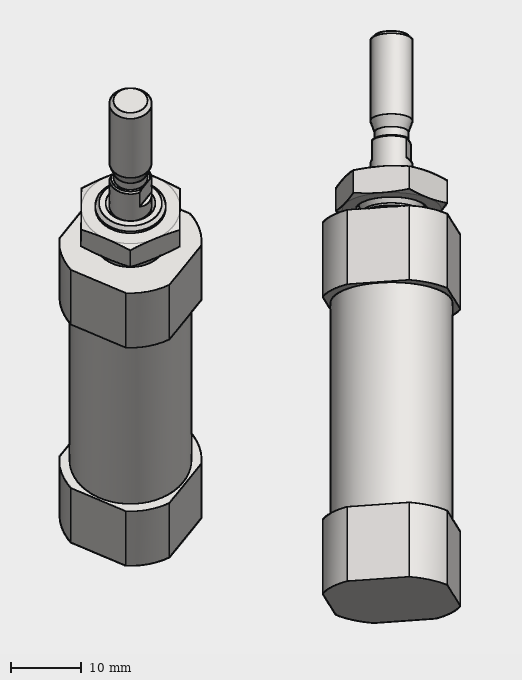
import cadquery as cq
import math

TOTAL_LENGTH = 84.6

CAP_ACROSS_FLATS = 18.0
CAP_DIAMETER = 20.1
CAP_LENGTH = 11.2
HOUSING_LENGTH = 55.75
TUBE_DIAMETER = 17.3
NOSE_DIAMETER = 10.0
NOSE_LENGTH = 7.9
NOSE_TIP_DIAMETER = 8.9
NOSE_COLLAR_LENGTH = 1.5
GROOVE_LOWER_TAPER = 0.5
GROOVE_DIAMETER = 8.4
GROOVE_FLOOR_HEIGHT = 0.3
GROOVE_UPPER_TAPER = 2.1
COUNTERSINK_DIAMETER = 7.0

ROD_DIAMETER = 6.0
ROD_TIP_DIAMETER = 4.8
ROD_THREAD_LENGTH = 12.7
ROD_NECK_DIAMETER = 4.8
ROD_NECK_TAPER = 1.7
ROD_NECK_LENGTH = 1.35
ROD_SHOULDER_CHAMFER = 0.25
ROD_ACROSS_FLATS = 5.0
ROD_FLAT_LENGTH = 3.1
ROD_FLAT_DROP = 0.3

NUT_ACROSS_FLATS = 14.0
NUT_THICKNESS = 4.0
NUT_BOTTOM = 58.7
NUT_CHAMFER_ANGLE = 15.0

NOSE_TOP = HOUSING_LENGTH + NOSE_LENGTH
ROD_BOTTOM = HOUSING_LENGTH - CAP_LENGTH
NECK_BOTTOM = TOTAL_LENGTH - ROD_THREAD_LENGTH - ROD_NECK_TAPER - ROD_NECK_LENGTH


def cylinder(diameter, bottom, height):
    """Cylinder on the Z axis, standing on the given height."""
    return cq.Workplane("XY").workplane(offset=bottom).circle(diameter / 2).extrude(height)


def turned(profile):
    """Solid turned about Z from (diameter, height) points, closed along the axis."""
    points = [(0, profile[0][1])]
    points += [(diameter / 2, height) for diameter, height in profile]
    points.append((0, profile[-1][1]))
    return cq.Workplane("XZ").polyline(points).close().revolve(360, (0, 0), (0, 1))


def make_cap(bottom):
    """Round end cap with four flats."""
    flats = (
        cq.Workplane("XY")
        .workplane(offset=bottom)
        .rect(CAP_ACROSS_FLATS, CAP_ACROSS_FLATS)
        .extrude(CAP_LENGTH)
    )
    return flats.intersect(cylinder(CAP_DIAMETER, bottom, CAP_LENGTH))


def make_nose():
    """Threaded nose with a tapered undercut above its collar and a chamfered tip."""
    chamfer = (NOSE_DIAMETER - NOSE_TIP_DIAMETER) / 2
    collar_top = HOUSING_LENGTH + NOSE_COLLAR_LENGTH
    groove_floor_bottom = collar_top + GROOVE_LOWER_TAPER
    groove_floor_top = groove_floor_bottom + GROOVE_FLOOR_HEIGHT
    return turned([
        (NOSE_DIAMETER, HOUSING_LENGTH),
        (NOSE_DIAMETER, collar_top),
        (GROOVE_DIAMETER, groove_floor_bottom),
        (GROOVE_DIAMETER, groove_floor_top),
        (NOSE_DIAMETER, groove_floor_top + GROOVE_UPPER_TAPER),
        (NOSE_DIAMETER, NOSE_TOP - chamfer),
        (NOSE_TIP_DIAMETER, NOSE_TOP),
    ])


def make_housing():
    """Tube, end caps and nose, bored and countersunk for the rod."""
    rear_cap = make_cap(0)
    tube = cylinder(TUBE_DIAMETER, CAP_LENGTH, HOUSING_LENGTH - 2 * CAP_LENGTH)
    front_cap = make_cap(HOUSING_LENGTH - CAP_LENGTH)
    solid = rear_cap.union(tube).union(front_cap).union(make_nose())
    countersink_depth = (COUNTERSINK_DIAMETER - ROD_DIAMETER) / 2
    bore = turned([
        (ROD_DIAMETER, ROD_BOTTOM),
        (ROD_DIAMETER, NOSE_TOP - countersink_depth),
        (COUNTERSINK_DIAMETER, NOSE_TOP),
    ])
    return solid.cut(bore)


def make_rod():
    """Piston rod with a threaded end, a neck and two wrench flats facing X."""
    tip_chamfer = (ROD_DIAMETER - ROD_TIP_DIAMETER) / 2
    thread_bottom = TOTAL_LENGTH - ROD_THREAD_LENGTH
    rod = turned([
        (ROD_DIAMETER, ROD_BOTTOM),
        (ROD_DIAMETER, NECK_BOTTOM - ROD_SHOULDER_CHAMFER),
        (ROD_DIAMETER - 2 * ROD_SHOULDER_CHAMFER, NECK_BOTTOM),
        (ROD_NECK_DIAMETER, NECK_BOTTOM),
        (ROD_NECK_DIAMETER, thread_bottom - ROD_NECK_TAPER),
        (ROD_DIAMETER, thread_bottom),
        (ROD_DIAMETER, TOTAL_LENGTH - tip_chamfer),
        (ROD_TIP_DIAMETER, TOTAL_LENGTH),
    ])
    flat_offset = ROD_ACROSS_FLATS / 2
    flat_bottom = NECK_BOTTOM - ROD_FLAT_LENGTH
    flat_cutter = (
        cq.Workplane("XZ")
        .moveTo(flat_offset, NECK_BOTTOM)
        .lineTo(flat_offset, flat_bottom)
        .lineTo(ROD_DIAMETER / 2, flat_bottom - ROD_FLAT_DROP)
        .lineTo(ROD_DIAMETER / 2, NECK_BOTTOM)
        .close()
        .extrude(ROD_DIAMETER / 2, both=True)
    )
    for angle in (0, 180):
        rod = rod.cut(flat_cutter.rotate((0, 0, 0), (0, 0, 1), angle))
    return rod


def make_nut():
    """Hexagonal nut with corners along X, chamfered on both faces."""
    across_corners = NUT_ACROSS_FLATS / math.cos(math.radians(30))
    chamfer_run = (across_corners - NUT_ACROSS_FLATS) / 2
    chamfer_height = chamfer_run * math.tan(math.radians(NUT_CHAMFER_ANGLE))
    nut_top = NUT_BOTTOM + NUT_THICKNESS
    hexagon = (
        cq.Workplane("XY")
        .workplane(offset=NUT_BOTTOM)
        .polygon(6, across_corners)
        .extrude(NUT_THICKNESS)
    )
    chamfer_envelope = turned([
        (NUT_ACROSS_FLATS, NUT_BOTTOM),
        (across_corners, NUT_BOTTOM + chamfer_height),
        (across_corners, nut_top - chamfer_height),
        (NUT_ACROSS_FLATS, nut_top),
    ])
    bore = cylinder(NOSE_DIAMETER, NUT_BOTTOM, NUT_THICKNESS)
    return hexagon.intersect(chamfer_envelope).cut(bore)


housing = make_housing()
rod = make_rod()
nut = make_nut()
result = cq.Compound.makeCompound([housing.val(), rod.val(), nut.val()])